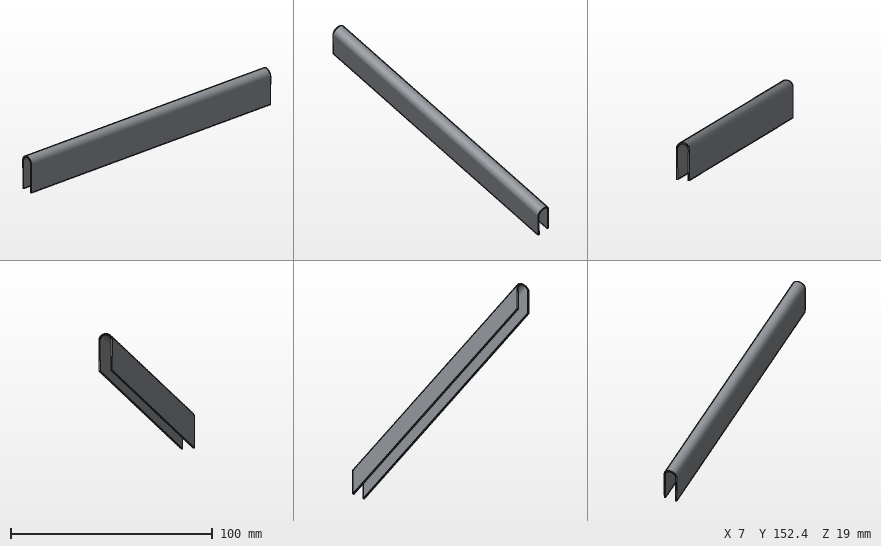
import cadquery as cq

length = 152.4
width = 7.0
height = 19.0
wall = 0.7
lean = 0.1

outer_radius = width / 2
inner_radius = outer_radius - wall
spring_line = height - outer_radius
outer_foot = outer_radius - lean
inner_foot = inner_radius - lean

profile = (
    cq.Workplane("XZ")
    .moveTo(-outer_foot, 0)
    .lineTo(-outer_radius, spring_line)
    .threePointArc((0, height), (outer_radius, spring_line))
    .lineTo(outer_foot, 0)
    .lineTo(inner_foot, 0)
    .lineTo(inner_radius, spring_line)
    .threePointArc((0, height - wall), (-inner_radius, spring_line))
    .lineTo(-inner_foot, 0)
    .close()
)

result = profile.extrude(length / 2, both=True)